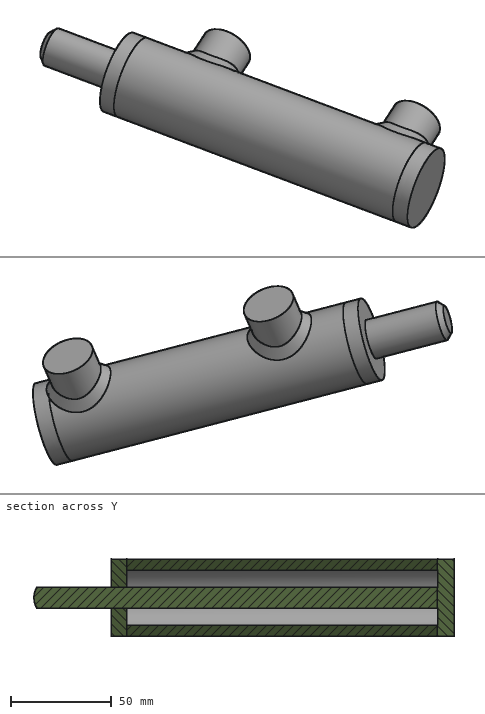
import cadquery as cq

total_length = 210.0
barrel_diameter = 42.0
bore_diameter = 32.0
rod_diameter = 20.0
rod_tip_chamfer = 3.0
rod_exposed_length = 40.0
gland_length = 7.8
cap_disc_length = 5.0
cap_weld_width = 3.2
port_diameter = 26.0
port_reach = 37.8
port_positions = (81.0, 186.0)
port_weld_leg = 3.8

gland_end = rod_exposed_length + gland_length
cap_disc_start = total_length - cap_disc_length
tube_end = cap_disc_start - cap_weld_width


def round_bar(diameter, start, end):
    """Solid cylinder along X between two stations."""
    return cq.Workplane("YZ", origin=(start, 0, 0)).circle(diameter / 2).extrude(end - start)


def make_rod():
    """Rod with a chamfered tip, running through the gland to the end cap."""
    return round_bar(rod_diameter, 0, tube_end).faces("<X").chamfer(rod_tip_chamfer)


def make_gland():
    """Ring that closes the front of the tube around the rod."""
    blank = round_bar(barrel_diameter, rod_exposed_length, gland_end)
    return blank.cut(round_bar(rod_diameter, rod_exposed_length, gland_end))


def make_tube():
    """Barrel between the gland and the end cap."""
    blank = round_bar(barrel_diameter, gland_end, tube_end)
    return blank.cut(round_bar(bore_diameter, gland_end, tube_end))


def make_cap():
    """End cap: a disc and a flush weld band whose seam stays as an edge."""
    weld_band = round_bar(barrel_diameter, tube_end, cap_disc_start)
    disc = round_bar(barrel_diameter, cap_disc_start, total_length)
    return weld_band.union(disc, clean=False)


def barrel_envelope():
    """Solid outer cylinder under the ports and welds, running past the cap to clear the last weld."""
    return round_bar(barrel_diameter, rod_exposed_length, total_length + port_diameter)


def port_bar(x):
    """Port cylinder from the barrel axis out to the port face, along +Y."""
    return cq.Workplane("XZ", origin=(x, 0, 0)).circle(port_diameter / 2).extrude(-port_reach)


def make_port(x):
    """Round boss with a saddle-shaped base resting on the tube."""
    return port_bar(x).cut(barrel_envelope())


def make_port_weld(x):
    """Sloped collar filling the corner between a port and the tube."""
    joined = barrel_envelope().union(port_bar(x))
    corner_box = cq.selectors.BoxSelector(
        (x - port_diameter, 0, -barrel_diameter),
        (x + port_diameter, barrel_diameter / 2 + port_weld_leg, barrel_diameter),
    )
    welded = joined.edges(corner_box).chamfer(port_weld_leg)
    return welded.cut(barrel_envelope()).cut(port_bar(x))


rod = make_rod()
gland = make_gland()
tube = make_tube()
cap = make_cap()
ports = [make_port(x).val() for x in port_positions]
port_welds = [make_port_weld(x).val() for x in port_positions]

result = cq.Compound.makeCompound([rod.val(), gland.val(), tube.val(), cap.val(), *ports, *port_welds])